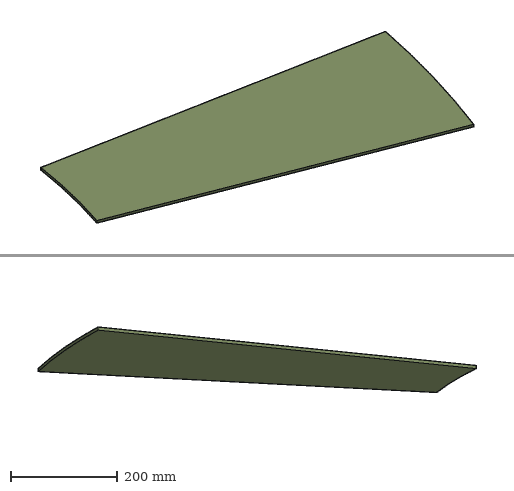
import cadquery as cq
import math

OUTER_RADIUS = 1860.0
INNER_RADIUS = 1096.0
SWEEP = 10.0
OUTER_DIRECTION = 61.9
INNER_DIRECTION = 64.6
THICKNESS = 6.35


def arc_points(radius, direction):
    """Return the left end, middle and right end of an arc about the origin."""
    angles = (direction + SWEEP / 2, direction, direction - SWEEP / 2)
    return [
        (radius * math.cos(math.radians(angle)), radius * math.sin(math.radians(angle)))
        for angle in angles
    ]


outer_left, outer_middle, outer_right = arc_points(OUTER_RADIUS, OUTER_DIRECTION)
inner_left, inner_middle, inner_right = arc_points(INNER_RADIUS, INNER_DIRECTION)

result = (
    cq.Workplane("XY")
    .moveTo(*inner_left)
    .lineTo(*outer_left)
    .threePointArc(outer_middle, outer_right)
    .lineTo(*inner_right)
    .threePointArc(inner_middle, inner_left)
    .close()
    .extrude(THICKNESS)
)